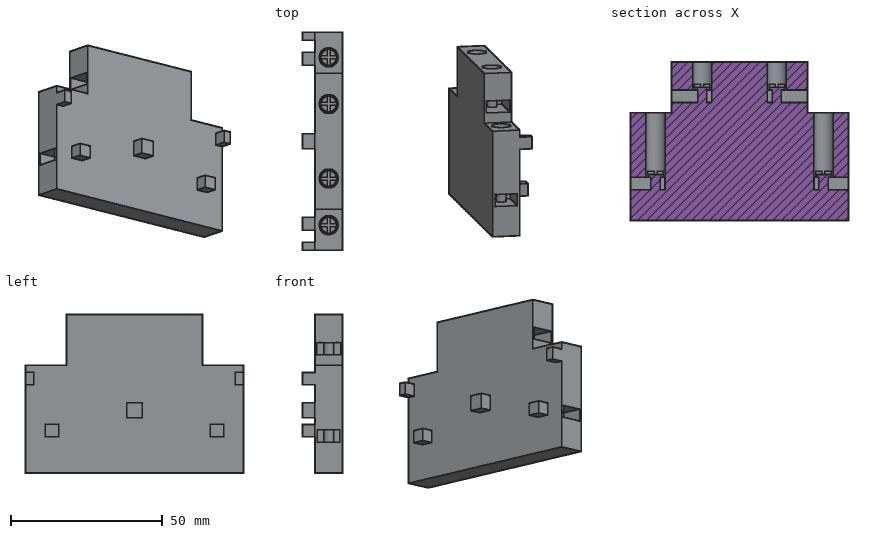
import cadquery as cq

LENGTH = 72.0
HEIGHT = 52.3
OVERALL_WIDTH = 13.3
PEG_LENGTH = 4.1
BODY_WIDTH = OVERALL_WIDTH - PEG_LENGTH
TOWER_LENGTH = 45.0
SHOULDER_HEIGHT = 35.6

CENTRE_PEG_SIZE = 5.0
CENTRE_PEG_Z = 20.7
LOWER_PEG_LENGTH = 4.4
LOWER_PEG_HEIGHT = 4.1
LOWER_PEG_Y = 27.2
LOWER_PEG_Z = 14.0
END_PEG_LENGTH = 2.75
END_PEG_HEIGHT = 4.1
END_PEG_Y = (LENGTH - END_PEG_LENGTH) / 2
END_PEG_Z = 31.15

HOLE_DIAMETER = 6.2
HEAD_DIAMETER = 5.2
HEAD_HEIGHT = 2.0
SHANK_DIAMETER = 3.3
CROSS_SLOT_WIDTH = 1.0
CROSS_SLOT_DEPTH = 1.0
UPPER_SCREW_Y = 12.3
LOWER_SCREW_Y = 27.7

OPENING_HEIGHT = 4.0
UPPER_OPENING_WIDTH = 7.9
LOWER_OPENING_WIDTH = 7.4
UPPER_OPENING_Z = 39.0
LOWER_OPENING_Z = 10.2


def block(width, length, height, y, z):
    """Box centred on X = 0 and on the given Y, with its base at the given Z."""
    return cq.Workplane("XY").box(width, length, height, centered=(True, True, False)).translate((0, y, z))


def rod(diameter, y, bottom, top):
    """Vertical cylinder on X = 0 between two heights."""
    return cq.Workplane("XY", origin=(0, y, bottom)).circle(diameter / 2).extrude(top - bottom)


def housing():
    """Long base with a shorter, taller block rising from its middle."""
    base = block(BODY_WIDTH, LENGTH, SHOULDER_HEIGHT, 0, 0)
    tower = block(BODY_WIDTH, TOWER_LENGTH, HEIGHT, 0, 0)
    return base.union(tower)


def peg(length, height, y, z):
    """Rectangular peg standing out from the -X face, centred on the given Y and Z."""
    face = cq.Workplane("YZ", origin=(-BODY_WIDTH / 2, y, z))
    return face.rect(length, height).extrude(-PEG_LENGTH)


def screw(y, bottom, head_bottom):
    """Screw standing on the opening floor, with a cross-slotted head."""
    head_top = head_bottom + HEAD_HEIGHT
    shank = rod(SHANK_DIAMETER, y, bottom, head_bottom)
    head = rod(HEAD_DIAMETER, y, head_bottom, head_top)
    slot_z = head_top - CROSS_SLOT_DEPTH
    slot_across = block(HEAD_DIAMETER, CROSS_SLOT_WIDTH, CROSS_SLOT_DEPTH, y, slot_z)
    slot_along = block(CROSS_SLOT_WIDTH, HEAD_DIAMETER, CROSS_SLOT_DEPTH, y, slot_z)
    return shank.union(head).cut(slot_across).cut(slot_along)


def add_terminal(body, side, screw_y, end_y, top, opening_z, opening_width):
    """Cut one wire opening and its screw hole, then set the screw inside."""
    opening_top = opening_z + OPENING_HEIGHT
    inner_y = screw_y - HOLE_DIAMETER / 2
    opening = block(
        opening_width, end_y - inner_y, OPENING_HEIGHT, side * (end_y + inner_y) / 2, opening_z
    )
    hole = rod(HOLE_DIAMETER, side * screw_y, opening_top, top)
    return body.cut(opening).cut(hole).union(screw(side * screw_y, opening_z, opening_top))


result = housing().union(peg(CENTRE_PEG_SIZE, CENTRE_PEG_SIZE, 0, CENTRE_PEG_Z))
for side in (-1, 1):
    result = result.union(peg(LOWER_PEG_LENGTH, LOWER_PEG_HEIGHT, side * LOWER_PEG_Y, LOWER_PEG_Z))
    result = result.union(peg(END_PEG_LENGTH, END_PEG_HEIGHT, side * END_PEG_Y, END_PEG_Z))
    result = add_terminal(
        result, side, UPPER_SCREW_Y, TOWER_LENGTH / 2, HEIGHT, UPPER_OPENING_Z, UPPER_OPENING_WIDTH
    )
    result = add_terminal(
        result, side, LOWER_SCREW_Y, LENGTH / 2, SHOULDER_HEIGHT, LOWER_OPENING_Z, LOWER_OPENING_WIDTH
    )